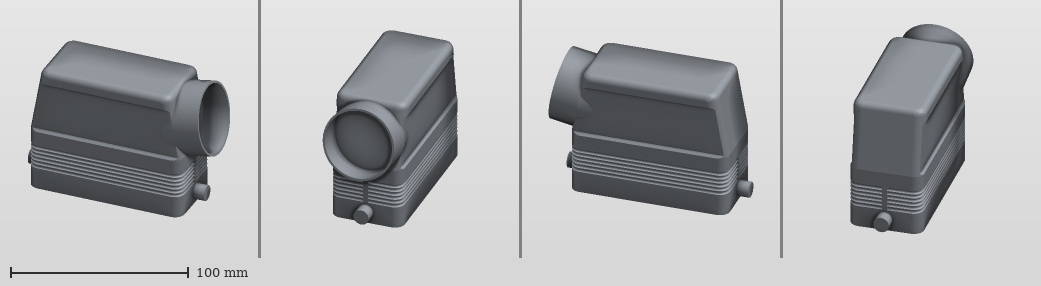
import cadquery as cq
import math

overall_length = 115.8
overall_height = 77.6

body_length = 93.7
body_width = 43.0
body_height = 76.1
skirt_height = 36.9
lean_angle = 10.0
corner_radius = 6.0
top_fillet = 3.8

recess_depth = 1.5
recess_bottom = 36.6
recess_top = 68.4

groove_radius = 1.0
groove_count = 6
lowest_groove = 14.1
highest_groove = 26.6
strip_width = 2.8

pin_diameter = 9.1
pin_span = 107.9
pin_height = 7.1

tube_radius = body_width / 2
tube_length = 16.2
tube_wall = 1.3
taper_angle = 10.0
taper_length = 11.6

groove_pitch = (highest_groove - lowest_groove) / (groove_count - 1)
lean = math.radians(lean_angle)
half_length = body_length / 2
half_width = body_width / 2

mouth_x = overall_length - pin_span / 2 - tube_radius * math.sin(lean)
mouth_z = overall_height - tube_radius * math.cos(lean)


def make_body():
    """Extruded end-to-end outline with rounded corners and top edge."""
    top_half_length = half_length - (body_height - skirt_height) * math.tan(lean)
    outline = [
        (-half_length, 0),
        (half_length, 0),
        (half_length, skirt_height),
        (top_half_length, body_height),
        (-top_half_length, body_height),
        (-half_length, skirt_height),
    ]
    block = cq.Workplane("XZ").polyline(outline).close().extrude(half_width, both=True)
    end_edges = block.faces("<Y or >Y").edges("not #Z")
    return end_edges.fillet(corner_radius).faces(">Z").edges().fillet(top_fillet)


def make_recess(side):
    """Cutter for one long side; side is +1 or -1 along Y."""
    outer = side * half_width
    floor = side * (half_width - recess_depth)
    outline = [
        (outer, recess_bottom),
        (floor, recess_bottom + recess_depth),
        (floor, recess_top - recess_depth),
        (outer, recess_top),
    ]
    return cq.Workplane("YZ").polyline(outline).close().extrude(half_length, both=True)


def make_grooves():
    """Ring cutters around the skirt, leaving a plain strip on each end."""
    plan = cq.Workplane("XY").rect(body_length, body_width).extrude(1.2).edges("|Z").fillet(corner_radius)
    ring_path = plan.faces("<Z").wires()
    ring = cq.Workplane("YZ", origin=(0, -half_width, 0)).circle(groove_radius).sweep(ring_path)
    strip = cq.Workplane("XY").box(2 * body_length, strip_width, 4 * groove_radius)
    ring = ring.cut(strip)
    heights = [lowest_groove + index * groove_pitch for index in range(groove_count)]
    return [ring.translate((0, 0, height)) for height in heights]


def make_pins():
    """One round bar passing through both ends of the body."""
    section = cq.Workplane("YZ", origin=(0, 0, pin_height)).circle(pin_diameter / 2)
    return section.extrude(pin_span / 2, both=True)


def place_on_tube_axis(shape):
    """Turn a shape built upward from the origin so that it starts at the mouth and runs into the body."""
    return shape.rotate((0, 0, 0), (0, 1, 0), -90 - lean_angle).translate((mouth_x, 0, mouth_z))


def make_tube():
    """Straight tube, filled, whose root narrows as a cone into the body."""
    root_radius = tube_radius - taper_length * math.tan(math.radians(taper_angle))
    root_end = tube_length + taper_length
    profile = [
        (0, 0),
        (tube_radius, 0),
        (tube_radius, tube_length),
        (root_radius, root_end),
        (0, root_end),
    ]
    return place_on_tube_axis(cq.Workplane("XZ").polyline(profile).close().revolve(360, (0, 0), (0, 1)))


def make_bore():
    """Blind round bore along the straight part of the tube."""
    return place_on_tube_axis(cq.Workplane("XY").circle(tube_radius - tube_wall).extrude(tube_length))


body = make_body()
for side in (-1, 1):
    body = body.cut(make_recess(side))
for groove in make_grooves():
    body = body.cut(groove)

result = body.union(make_pins()).union(make_tube()).cut(make_bore())